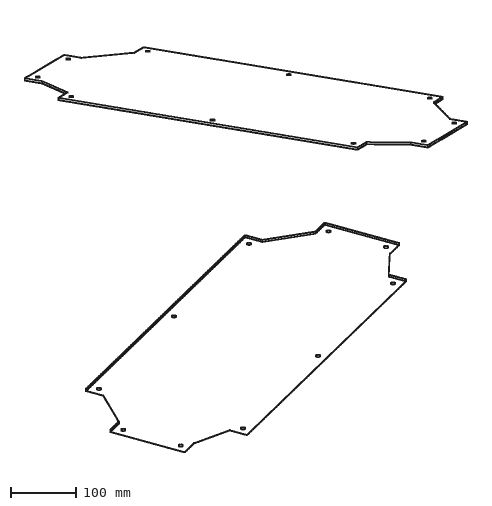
import cadquery as cq

length = 700.0
width = 280.0
thickness = 4.0

cutout_length = 90.0
back_cutout_width = 90.0
front_cutout_width = 60.0
lip = 30.0

hole_diameter = 6.6
hole_inset = 15.0

end_x = length / 2
body_x = end_x - cutout_length
side_y = width / 2
tab_back_y = side_y - back_cutout_width
tab_front_y = -side_y + front_cutout_width


def make_plate():
    """Plate outline: the right half, then its mirror image in reverse order."""
    right_half = [
        (body_x, -side_y),
        (body_x, -side_y + lip),
        (end_x - lip, tab_front_y),
        (end_x, tab_front_y),
        (end_x, tab_back_y),
        (end_x - lip, tab_back_y),
        (body_x, side_y - lip),
        (body_x, side_y),
    ]
    left_half = [(-x, y) for x, y in reversed(right_half)]
    return cq.Workplane("XY").polyline(right_half + left_half).close().extrude(thickness)


def hole_centers():
    """Three holes along each long side and two in each end tab."""
    body_hole_x = body_x - hole_inset
    tab_hole_x = end_x - hole_inset
    side_hole_y = side_y - hole_inset
    centers = [(x, y) for x in (-body_hole_x, 0, body_hole_x) for y in (-side_hole_y, side_hole_y)]
    for x in (-tab_hole_x, tab_hole_x):
        centers.append((x, tab_front_y + hole_inset))
        centers.append((x, tab_back_y - hole_inset))
    return centers


result = make_plate().faces(">Z").workplane(origin=(0, 0, 0)).pushPoints(hole_centers()).hole(hole_diameter)